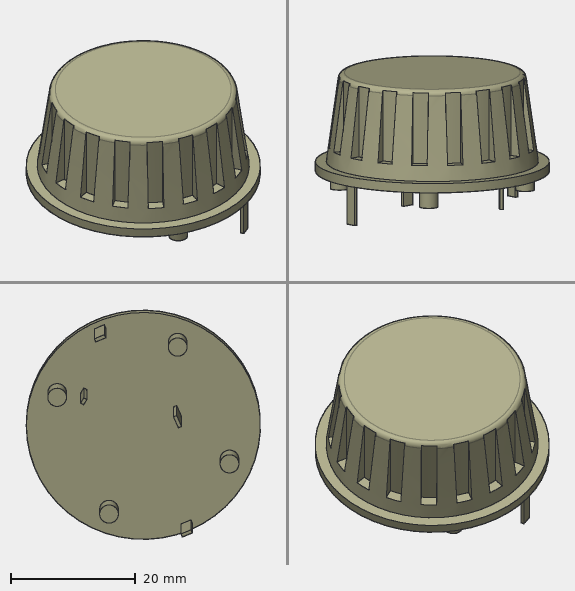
import cadquery as cq

flange_radius = 18.75
flange_thickness = 1.55

total_height = 22.5
pin_length = 6.5
cap_top = total_height - pin_length
cap_base_radius = 17.0
cap_top_radius = 14.95
cap_edge_fillet = 1.0

slot_count = 18
slot_width = 2.5
slot_floor_radius = 14.92
slot_bottom = 4.05

post_diameter = 3
post_length = 3
post_offset = 10.5

pin_thickness = 0.55
side_pin_width = 1.75
side_pin_radius = 17.55
side_pin_directions = (0, 180)
front_pin_width = 2.0
front_pin_radius = 5.95
front_pin_direction = 270
angled_pin_width = 1.0
angled_pin_radius = 11.15
angled_pin_direction = 144.2


def make_flange():
    return cq.Workplane("XY").circle(flange_radius).extrude(flange_thickness)


def make_cap():
    """Cone from the flange to the top face, with a rounded top edge."""
    cone = (
        cq.Workplane("XZ")
        .moveTo(0, flange_thickness)
        .lineTo(cap_base_radius, flange_thickness)
        .lineTo(cap_top_radius, cap_top)
        .lineTo(0, cap_top)
        .close()
        .revolve(360, (0, 0, 0), (0, 1, 0))
    )
    return cone.faces(">Z").edges().fillet(cap_edge_fillet)


def make_slot_cutters():
    """Upright radial bars whose inner ends follow the slot floor cylinder."""
    height = cap_top - slot_bottom
    bottom_plane = cq.Workplane("XY").workplane(offset=slot_bottom)
    bars = (
        bottom_plane
        .polarArray(flange_radius / 2, 0, 360, slot_count)
        .rect(flange_radius, slot_width)
        .extrude(height)
    )
    core = bottom_plane.circle(slot_floor_radius).extrude(height)
    return bars.cut(core)


def make_posts():
    spacing = 2 * post_offset
    centers = cq.Workplane("XY").rect(spacing, spacing, forConstruction=True).vertices()
    return centers.circle(post_diameter / 2).extrude(-post_length)


def make_pin(radius, direction, width):
    """Flat pin at a polar position, with its thickness along the radius."""
    pin = cq.Workplane("XY").center(radius, 0).rect(pin_thickness, width).extrude(-pin_length)
    return pin.rotate((0, 0, 0), (0, 0, 1), direction)


slotted_cap = make_cap().cut(make_slot_cutters())
result = make_flange().union(slotted_cap).union(make_posts())
for side_direction in side_pin_directions:
    result = result.union(make_pin(side_pin_radius, side_direction, side_pin_width))
result = result.union(make_pin(front_pin_radius, front_pin_direction, front_pin_width))
result = result.union(make_pin(angled_pin_radius, angled_pin_direction, angled_pin_width))